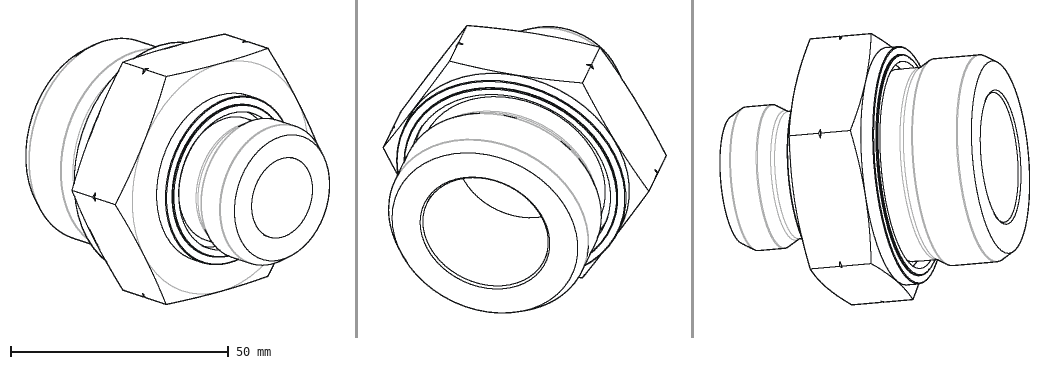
import cadquery as cq
import math

LARGE_RUNOUT_X = 13.8
LARGE_COLLAR_X = 22.0
HEX_START_X = 25.0
HEX_END_X = 42.05
SMALL_COLLAR_X = 45.2
SMALL_RUNOUT_X = 53.55
LENGTH = 63.0

LARGE_THREAD_D = 47.8
LARGE_NECK_D = 44.4
LARGE_END_D = 44.4
LARGE_COLLAR_D = 54.8
SMALL_THREAD_D = 33.2
SMALL_NECK_D = 29.5
SMALL_END_D = 29.7
SMALL_COLLAR_D = 39.8
THREAD_CONE_ANGLE = math.radians(30)
NECK_FILLET = 1.8
THREAD_EDGE_FILLET = 0.5
COLLAR_CHAMFER = 0.2

HEX_CORNER_D = 63.5
HEX_BEVEL_ANGLE = math.radians(15)
NOTCH_DEPTH = 0.6
NOTCH_WIDTH = 0.65

THROUGH_D = 19.0
BORE_D = 30.0
BORE_DEPTH = 28.6
BORE_CHAMFER = 0.5
BORE_CONE_ANGLE = math.radians(59)

LARGE_RECESS_D = 51.05
LARGE_SEAL_INNER_D = 47.8
SMALL_RECESS_D = 36.1
SMALL_SEAL_INNER_D = 32.65
SEAL_CHAMFER = 0.2
SEAL_DEPTH = 2.9
SEAL_PROUD = 0.45


def revolve_about_x(profile):
    """Revolve a closed (x, radius) outline about the X axis."""
    return profile.close().revolve(360, (0, 0, 0), (1, 0, 0))


def make_stub(
    thread_d, neck_d, end_d, collar_d, recess_d, seal_inner_d, runout_x, collar_x, root_x
):
    """Threaded stub starting at x = 0, with a neck and a collar recessed for a seal."""
    thread_r = thread_d / 2
    neck_r = neck_d / 2
    end_r = end_d / 2
    collar_r = collar_d / 2
    recess_r = recess_d / 2
    seat_r = seal_inner_d / 2
    recess_floor_x = collar_x + SEAL_DEPTH
    flare_x = recess_floor_x - (seat_r - neck_r)
    chamfer_length = (thread_r - end_r) / math.tan(THREAD_CONE_ANGLE)

    cone_end_r = neck_r + NECK_FILLET * (1 - math.cos(THREAD_CONE_ANGLE))
    cone_end_x = runout_x + (thread_r - cone_end_r) / math.tan(THREAD_CONE_ANGLE)
    neck_x = cone_end_x + NECK_FILLET * math.sin(THREAD_CONE_ANGLE)
    half_angle = THREAD_CONE_ANGLE / 2
    fillet_mid = (
        neck_x - NECK_FILLET * math.sin(half_angle),
        neck_r + NECK_FILLET * (1 - math.cos(half_angle)),
    )

    profile = (
        cq.Workplane("XY")
        .moveTo(0, 0)
        .lineTo(0, end_r)
        .lineTo(chamfer_length, thread_r)
        .lineTo(runout_x, thread_r)
        .lineTo(cone_end_x, cone_end_r)
        .threePointArc(fillet_mid, (neck_x, neck_r))
        .lineTo(flare_x, neck_r)
        .lineTo(recess_floor_x, seat_r)
        .lineTo(recess_floor_x, recess_r)
        .lineTo(collar_x, recess_r)
        .lineTo(collar_x, collar_r - COLLAR_CHAMFER)
        .lineTo(collar_x + COLLAR_CHAMFER, collar_r)
        .lineTo(root_x, collar_r)
        .lineTo(root_x, 0)
    )
    stub = revolve_about_x(profile)
    thread_edges = [
        edge
        for edge in stub.edges("%CIRCLE").vals()
        if math.isclose(edge.radius(), thread_r)
    ]
    return stub.newObject(thread_edges).fillet(THREAD_EDGE_FILLET)


def make_hexagon():
    """Hexagon with corners on the Y axis, bevelled ends and notched corners."""
    corner_r = HEX_CORNER_D / 2
    flat_r = corner_r * math.cos(math.pi / 6)
    middle_x = (HEX_START_X + HEX_END_X) / 2
    bevel_length = (corner_r - flat_r) * math.tan(HEX_BEVEL_ANGLE)

    prism = (
        cq.Workplane("YZ", origin=(HEX_START_X, 0, 0))
        .polygon(6, HEX_CORNER_D)
        .extrude(HEX_END_X - HEX_START_X)
    )
    envelope = (
        cq.Workplane("XY")
        .moveTo(HEX_START_X, 0)
        .lineTo(HEX_START_X, flat_r)
        .lineTo(HEX_START_X + bevel_length, corner_r)
        .lineTo(middle_x - NOTCH_WIDTH / 2, corner_r)
        .lineTo(middle_x, corner_r - NOTCH_DEPTH)
        .lineTo(middle_x + NOTCH_WIDTH / 2, corner_r)
        .lineTo(HEX_END_X - bevel_length, corner_r)
        .lineTo(HEX_END_X, flat_r)
        .lineTo(HEX_END_X, 0)
    )
    return prism.intersect(revolve_about_x(envelope))


def make_bore():
    """Wide bore from the large end that narrows through a cone to the through hole."""
    bore_r = BORE_D / 2
    through_r = THROUGH_D / 2
    cone_length = (bore_r - through_r) / math.tan(BORE_CONE_ANGLE)
    profile = (
        cq.Workplane("XY")
        .moveTo(0, 0)
        .lineTo(0, bore_r + BORE_CHAMFER)
        .lineTo(BORE_CHAMFER, bore_r)
        .lineTo(BORE_DEPTH, bore_r)
        .lineTo(BORE_DEPTH + cone_length, through_r)
        .lineTo(LENGTH, through_r)
        .lineTo(LENGTH, 0)
    )
    return revolve_about_x(profile)


def make_seal(outer_d, inner_d, start_x, exposed_face):
    """Flat sealing ring that fills its recess, chamfered around the exposed face."""
    disc = (
        cq.Workplane("YZ", origin=(start_x, 0, 0))
        .circle(outer_d / 2)
        .extrude(SEAL_DEPTH + SEAL_PROUD)
        .faces(exposed_face)
        .chamfer(SEAL_CHAMFER)
    )
    return disc.faces("<X").workplane().hole(inner_d)


def make_fitting():
    """Adapter body: hexagon with a large stub at -X and a small stub at +X."""
    large_stub = make_stub(
        LARGE_THREAD_D, LARGE_NECK_D, LARGE_END_D, LARGE_COLLAR_D, LARGE_RECESS_D,
        LARGE_SEAL_INNER_D, LARGE_RUNOUT_X, LARGE_COLLAR_X, HEX_START_X,
    )
    small_stub = make_stub(
        SMALL_THREAD_D, SMALL_NECK_D, SMALL_END_D, SMALL_COLLAR_D, SMALL_RECESS_D,
        SMALL_SEAL_INNER_D, LENGTH - SMALL_RUNOUT_X, LENGTH - SMALL_COLLAR_X, LENGTH - HEX_END_X,
    )
    small_stub = small_stub.mirror("YZ").translate((LENGTH, 0, 0))
    return make_hexagon().union(large_stub).union(small_stub).cut(make_bore())


fitting = make_fitting()
large_seal = make_seal(LARGE_RECESS_D, LARGE_SEAL_INNER_D, LARGE_COLLAR_X - SEAL_PROUD, "<X")
small_seal = make_seal(SMALL_RECESS_D, SMALL_SEAL_INNER_D, SMALL_COLLAR_X - SEAL_DEPTH, ">X")

result = cq.Compound.makeCompound([fitting.val(), large_seal.val(), small_seal.val()])